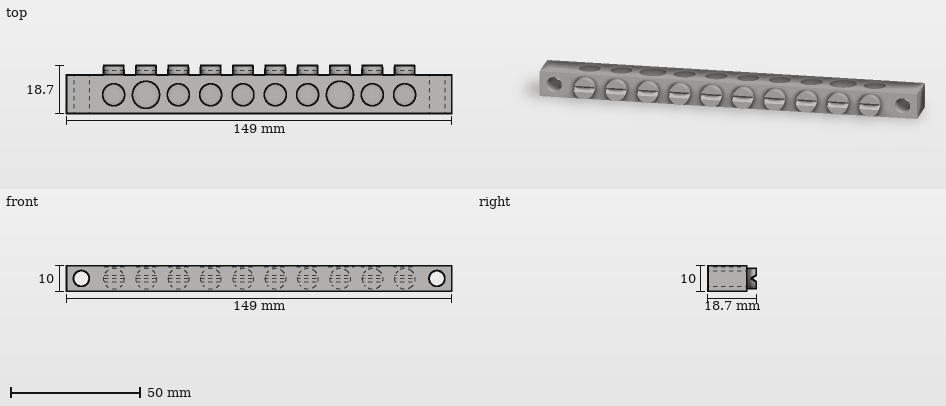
import cadquery as cq

bar_length = 149.0
bar_depth = 15.0
bar_height = 10.0

mount_hole_diameter = 6.0
mount_hole_end_distance = 5.75

station_count = 10
station_pitch = 12.5
large_stations = (1, 7)

small_recess_diameter = 8.5
large_recess_diameter = 10.5
recess_depth = 0.5
recess_y = 7.3

screw_diameter = 8.0
screw_projection = 3.7
slot_width = 2.4
slot_depth = 2.0

mid_z = bar_height / 2
screw_tip_y = bar_depth + screw_projection
first_station_x = (bar_length - (station_count - 1) * station_pitch) / 2


def station_x(index):
    return first_station_x + index * station_pitch


def make_bar():
    return cq.Workplane("XY").box(bar_length, bar_depth, bar_height, centered=False)


def make_cylinder_along_y(x, start_y, diameter, length):
    """Cylinder at mid height of the bar, running from start_y toward +Y."""
    start = cq.Vector(x, start_y, mid_z)
    direction = cq.Vector(0, 1, 0)
    return cq.Workplane(cq.Solid.makeCylinder(diameter / 2, length, start, direction))


def make_mount_hole(x):
    """Hole tool spanning the full depth of the bar."""
    return make_cylinder_along_y(x, 0, mount_hole_diameter, bar_depth)


def make_screw(index):
    """Screw stub standing on the +Y face of the bar."""
    return make_cylinder_along_y(station_x(index), bar_depth, screw_diameter, screw_projection)


def make_recess(index):
    """Shallow disc to be removed from the top face."""
    diameter = large_recess_diameter if index in large_stations else small_recess_diameter
    return (
        cq.Workplane("XY", origin=(station_x(index), recess_y, bar_height - recess_depth))
        .circle(diameter / 2)
        .extrude(recess_depth)
    )


def make_slot():
    """V-shaped groove along X, crossing the tips of all the screws."""
    return (
        cq.Workplane("YZ")
        .moveTo(screw_tip_y, mid_z - slot_width / 2)
        .lineTo(screw_tip_y - slot_depth, mid_z)
        .lineTo(screw_tip_y, mid_z + slot_width / 2)
        .close()
        .extrude(bar_length)
    )


result = make_bar()

for hole_x in (mount_hole_end_distance, bar_length - mount_hole_end_distance):
    result = result.cut(make_mount_hole(hole_x))

for station in range(station_count):
    result = result.cut(make_recess(station))
    result = result.union(make_screw(station))

result = result.cut(make_slot())